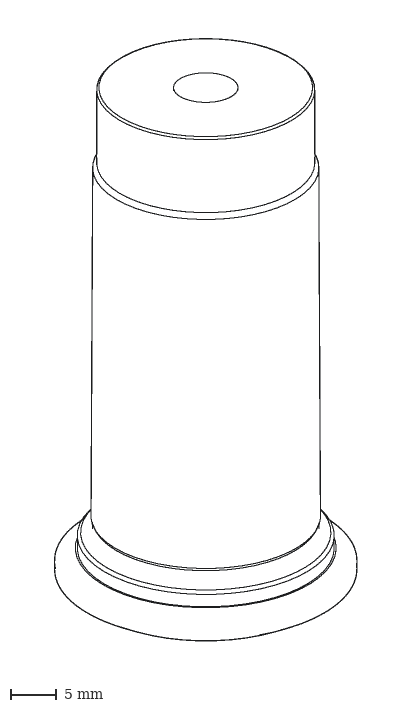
import cadquery as cq

height = 60.5
neck_radius = 23.8 / 2
body_top_radius = 24.7 / 2
body_bottom_radius = 12.5
groove_radius = 12.35
collar_radius = 28.0 / 2
rim_radius = 33.0 / 2
flange_top_radius = 14.2
flange_bottom_radius = 14.3

rim_bottom_z = 1.35
rim_top_z = 2.6
flange_top_z = 4.05
collar_top_z = 5.9
groove_top_z = 7.6
body_bottom_z = 8.0
body_top_z = 50.7
neck_bottom_z = 51.3

top_chamfer = 0.25
collar_chamfer = 0.35
groove_fillet = 0.7
rim_fillet = 0.25

bore_radius = 7.0 / 2
outlet_radius = 6.0 / 2
bore_floor_z = 12.1


def turned_body():
    """Revolve the flange, collar, groove, tapered body and neck about Z."""
    outline = (
        cq.Workplane("XZ")
        .lineTo(flange_bottom_radius, 0)
        .lineTo(rim_radius, rim_bottom_z)
        .lineTo(rim_radius, rim_top_z)
        .lineTo(flange_top_radius, flange_top_z)
        .lineTo(collar_radius, flange_top_z)
        .lineTo(collar_radius, collar_top_z - collar_chamfer)
        .lineTo(collar_radius - collar_chamfer, collar_top_z)
        .lineTo(groove_radius + groove_fillet, collar_top_z)
        .radiusArc((groove_radius, collar_top_z + groove_fillet), groove_fillet)
        .lineTo(groove_radius, groove_top_z)
        .lineTo(body_bottom_radius, body_bottom_z)
        .lineTo(body_top_radius, body_top_z)
        .lineTo(neck_radius, neck_bottom_z)
        .lineTo(neck_radius, height - top_chamfer)
        .lineTo(neck_radius - top_chamfer, height)
        .lineTo(0, height)
        .close()
    )
    return outline.revolve(360, (0, 0, 0), (0, 1, 0))


def round_rim(body):
    """Round both edges of the narrow cylindrical rim of the flange."""
    for edge_z in (rim_bottom_z, rim_top_z):
        largest_circle = cq.selectors.RadiusNthSelector(-1)
        margin = rim_fillet / 2
        band = cq.selectors.BoxSelector(
            (-rim_radius, -rim_radius, edge_z - margin),
            (rim_radius, rim_radius, edge_z + margin),
        )
        body = body.edges(band).edges(largest_circle).fillet(rim_fillet)
    return body


def stepped_bore():
    """Solid filling the wide bore and the outlet below it."""
    outlet = cq.Workplane("XY").circle(outlet_radius).extrude(height)
    bore = (
        cq.Workplane("XY", origin=(0, 0, bore_floor_z))
        .circle(bore_radius)
        .extrude(height - bore_floor_z)
    )
    return outlet.union(bore)


result = round_rim(turned_body()).cut(stepped_bore())